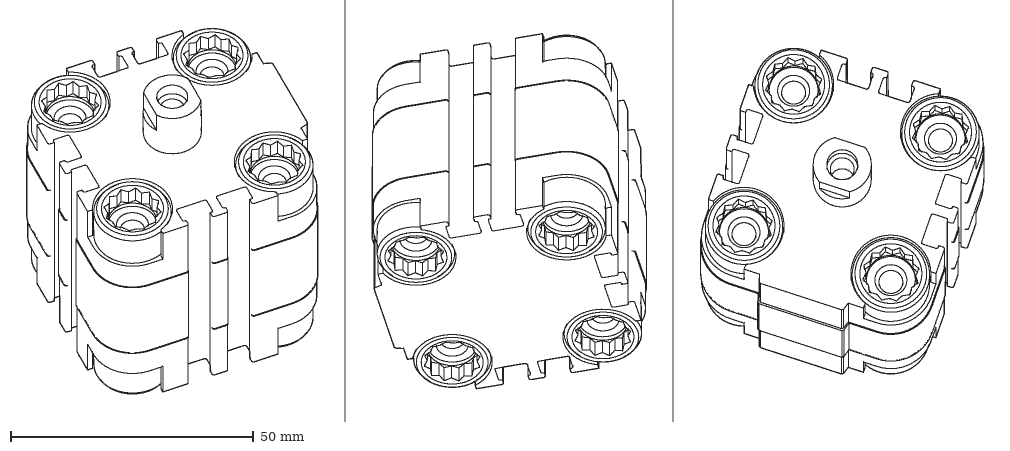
import cadquery as cq
import math

half_width = 25.0
corner_radius = 9.0
housing_height = 49.5
end_length = 14.5
end_inset = 0.2
rail_end_inset = 0.4

rail_top = 27.0
rail_half_base = 9.9
rail_half_top = 9.3
rail_edge_round = 0.25

post_head_half = 1.75
slot_mouth_outer = 7.15
post_stem_half = 1.1
cavity_outer = 7.9
slot_floor = 19.85
lip_inner = 23.45
mouth_round = 0.45
cavity_round = 0.45

boss_pitch = 32.0
boss_radius = 8.0
boss_relief_radius = 8.25
boss_height = 8.0
boss_chamfer_height = 1.0
boss_chamfer_width = 0.6
boss_relief_edge = 13.0
socket_points = 12
socket_tip_diameter = 11.8
socket_valley_diameter = 10.3
socket_bore_diameter = 10.1
socket_mouth_radius = 6.4
socket_mouth_depth = 0.6
socket_spline_depth = 4.0
socket_depth = 5.0
screw_hole_diameter = 4.92
screw_countersink_diameter = 6.6
screw_countersink_depth = 1.4

rod_diameter = 12.0
rod_projection = 11.0
rod_insertion = end_length
flat_width = 10.0
flat_height = 4.75
rod_hole_diameter = 4.92
rod_hole_depth = 12.0
rod_entry_diameter = 6.4
rod_entry_depth = 2.7
rod_entry_taper = 0.8
drill_point_angle = 118.0

boss_centre = boss_pitch / 2
mid_height = housing_height / 2


def slot_pair(face, height):
    """Two mirrored T-slots open toward +X through a flat face at x = face."""
    cavity_length = lip_inner - slot_floor
    cavity_width = cavity_outer - post_stem_half
    cavity = (
        cq.Workplane("XY")
        .box(cavity_length, cavity_width, height, centered=False)
        .edges("|Z")
        .fillet(cavity_round)
        .translate((slot_floor, post_stem_half, 0))
    )
    mouth = (
        cq.Workplane("XY")
        .moveTo(lip_inner, post_head_half)
        .lineTo(face - mouth_round, post_head_half)
        .radiusArc((face, post_head_half - mouth_round), mouth_round)
        .lineTo(face, slot_mouth_outer + mouth_round)
        .radiusArc((face - mouth_round, slot_mouth_outer), mouth_round)
        .lineTo(lip_inner, slot_mouth_outer)
        .close()
        .extrude(height)
    )
    slot = cavity.union(mouth)
    return slot.union(slot.mirror("XZ"))


def housing_section(inset, rail_inset, bottom, top):
    """One stretch of the housing, its outline and its rail top drawn in by the insets."""
    height = top - bottom
    face = half_width - inset
    rail_face = rail_top - rail_inset
    section = (
        cq.Workplane("XY")
        .rect(2 * face, 2 * face)
        .extrude(height)
        .edges("|Z")
        .fillet(corner_radius - inset)
    )
    rail = (
        cq.Workplane("XY")
        .moveTo(-rail_half_base + inset, 0)
        .lineTo(-rail_half_base + inset, face)
        .lineTo(-rail_half_top + inset, rail_face)
        .lineTo(rail_half_top - inset, rail_face)
        .lineTo(rail_half_base - inset, face)
        .lineTo(rail_half_base - inset, 0)
        .close()
        .extrude(height)
        .edges("|Z and >Y")
        .chamfer(rail_edge_round)
    )
    section = section.union(rail)
    slots = slot_pair(face, height)
    for angle in (0, 180, 270):
        section = section.cut(slots.rotate((0, 0, 0), (0, 0, 1), angle))
    return section.translate((0, 0, bottom))


def boss_relief():
    """Material cleared around one upper corner boss, in the +X +Y corner."""
    floor = housing_height - boss_height
    corner_block = (
        cq.Workplane("XY")
        .box(half_width, half_width, boss_height, centered=False)
        .translate((boss_relief_edge, boss_relief_edge, floor))
    )
    relief_hole = (
        cq.Workplane("XY", origin=(boss_centre, boss_centre, floor))
        .circle(boss_relief_radius)
        .extrude(boss_height)
    )
    boss = (
        cq.Workplane("XY", origin=(boss_centre, boss_centre, floor))
        .circle(boss_radius)
        .extrude(boss_height)
    )
    chamfer_start = housing_height - boss_chamfer_height
    chamfer_ring = (
        cq.Workplane("XZ")
        .moveTo(boss_radius, chamfer_start)
        .lineTo(boss_radius, housing_height)
        .lineTo(boss_radius - boss_chamfer_width, housing_height)
        .close()
        .revolve(360, (0, 0, 0), (0, 1, 0))
        .translate((boss_centre, boss_centre, 0))
    )
    return corner_block.union(relief_hole).cut(boss).union(chamfer_ring)


def boss_socket():
    """12-point socket sunk into the upper end of the boss in the +X +Y corner."""
    star = []
    for corner in range(2 * socket_points):
        angle = math.pi * corner / socket_points
        diameter = socket_valley_diameter if corner % 2 else socket_tip_diameter
        star.append((diameter / 2 * math.cos(angle), diameter / 2 * math.sin(angle)))
    spline = cq.Workplane("XY").polyline(star).close().extrude(-socket_spline_depth)
    bore = (
        cq.Workplane("XZ")
        .moveTo(0, 0)
        .lineTo(socket_mouth_radius, 0)
        .lineTo(socket_bore_diameter / 2, -socket_mouth_depth)
        .lineTo(socket_bore_diameter / 2, -socket_depth)
        .lineTo(screw_countersink_diameter / 2, -socket_depth)
        .lineTo(screw_hole_diameter / 2, -socket_depth - screw_countersink_depth)
        .lineTo(0, -socket_depth - screw_countersink_depth)
        .close()
        .revolve(360, (0, 0, 0), (0, 1, 0))
    )
    return spline.union(bore).translate((boss_centre, boss_centre, housing_height))


def build_housing():
    upper_end_start = housing_height - end_length
    middle = housing_section(0, 0, end_length, upper_end_start)
    lower_end = housing_section(end_inset, rail_end_inset, 0, end_length)
    upper_end = housing_section(end_inset, rail_end_inset, upper_end_start, housing_height)
    body = middle.union(lower_end).union(upper_end)
    upper_corner = boss_relief().union(boss_socket())
    lower_corner = upper_corner.mirror("XY", (0, 0, mid_height))
    screw_hole = (
        cq.Workplane("XY", origin=(boss_centre, boss_centre, 0))
        .circle(screw_hole_diameter / 2)
        .extrude(housing_height)
    )
    corner_cut = upper_corner.union(lower_corner).union(screw_hole)
    for angle in (0, 90, 180, 270):
        body = body.cut(corner_cut.rotate((0, 0, 0), (0, 0, 1), angle))
    rod_bore = (
        cq.Workplane("XY", origin=(0, 0, housing_height))
        .circle(rod_diameter / 2)
        .extrude(-rod_insertion)
    )
    return body.cut(rod_bore)


def build_rod():
    rod_end = housing_height + rod_projection
    rod = (
        cq.Workplane("XY", origin=(0, 0, housing_height - rod_insertion))
        .circle(rod_diameter / 2)
        .extrude(rod_insertion + rod_projection)
    )
    flat_depth = (rod_diameter - flat_width) / 2
    for side in (-1, 1):
        flat_cut = (
            cq.Workplane("XY", origin=(0, side * (flat_width + flat_depth) / 2, rod_end))
            .rect(rod_diameter, flat_depth)
            .extrude(-flat_height)
        )
        rod = rod.cut(flat_cut)
    hole_radius = rod_hole_diameter / 2
    entry_radius = rod_entry_diameter / 2
    drill_point = hole_radius / math.tan(math.radians(drill_point_angle / 2))
    hole = (
        cq.Workplane("XZ", origin=(0, 0, rod_end))
        .moveTo(0, 0)
        .lineTo(entry_radius, 0)
        .lineTo(entry_radius, -rod_entry_depth)
        .lineTo(hole_radius, -rod_entry_depth - rod_entry_taper)
        .lineTo(hole_radius, -rod_hole_depth)
        .lineTo(0, -rod_hole_depth - drill_point)
        .close()
        .revolve(360, (0, 0, 0), (0, 1, 0))
    )
    return rod.cut(hole)


housing = build_housing()
rod = build_rod()

result = cq.Compound.makeCompound([housing.val(), rod.val()])